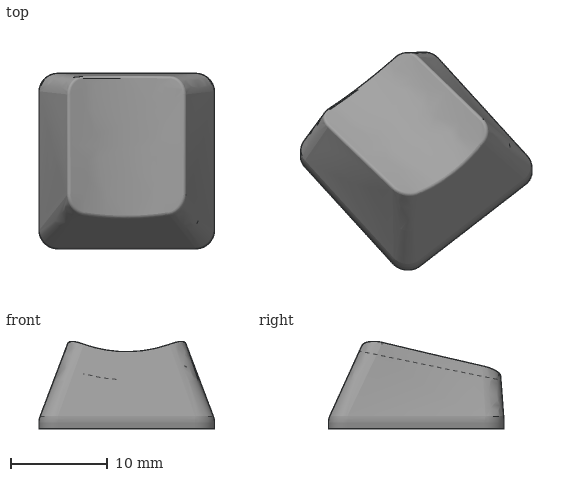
import cadquery as cq
import math

base_size = 18.16
base_corner_radius = 2.0
skirt_height = 0.65

shoulder_height = 0.65
shoulder_inset = 0.13
shoulder_back_inset = 0.04

rim_width = 12.02
rim_front_y = -5.21
rim_back_y = 8.68
rim_corner_radius = 1.89
rim_height_at_center = 8.26
rim_tilt = 13.5
rim_edge_radius = 0.29

dish_front_radius = 11.99
dish_back_radius = 17.25
dish_half_length = 8.17


def make_skirt():
    return (
        cq.Workplane("XY")
        .rect(base_size, base_size)
        .extrude(skirt_height)
        .edges("|Z")
        .fillet(base_corner_radius)
    )


def rounded_rectangle(plane, width, length, radius):
    """Closed wire of a rounded rectangle centred on the plane origin."""
    sketch = cq.Sketch().rect(width, length).vertices().fillet(radius)
    wire = sketch._faces.Faces()[0].outerWire()
    return wire.moved(cq.Location(plane))


def make_rim_plane():
    center_y = (rim_front_y + rim_back_y) / 2
    center_z = rim_height_at_center - center_y * math.tan(math.radians(rim_tilt))
    tilt = math.radians(rim_tilt)
    return cq.Plane(
        origin=(0, center_y, center_z),
        xDir=(1, 0, 0),
        normal=(0, math.sin(tilt), math.cos(tilt)),
    )


def inset_outline(height, side_inset, back_inset):
    """Base outline at a height, moved inwards at the sides, front and back."""
    plane = cq.Plane(origin=(0, (side_inset - back_inset) / 2, height))
    width = base_size - 2 * side_inset
    length = base_size - side_inset - back_inset
    return rounded_rectangle(plane, width, length, base_corner_radius - side_inset)


def make_shoulder(wall_foot):
    """Smooth loft that leaves the skirt vertically and leans in to the foot of the walls."""
    skirt_top = inset_outline(skirt_height, 0, 0)
    middle = inset_outline(skirt_height + shoulder_height / 2, shoulder_inset / 4, shoulder_back_inset / 4)
    return cq.Workplane(cq.Solid.makeLoft([skirt_top, middle, wall_foot]))


def make_walls(wall_foot, rim_plane):
    """Ruled, tapering walls from the shoulder up to the tilted rim."""
    rim_length = (rim_back_y - rim_front_y) / math.cos(math.radians(rim_tilt))
    rim = rounded_rectangle(rim_plane, rim_width, rim_length, rim_corner_radius)
    return cq.Workplane(cq.Solid.makeLoft([wall_foot, rim], True))


def dish_circle(rim_plane, distance, radius):
    """Circle across the dish that meets the rim plane at both long sides of the rim."""
    axis_height = math.sqrt(radius**2 - (rim_width / 2) ** 2)
    center = rim_plane.toWorldCoords((0, distance, axis_height))
    return cq.Wire.makeCircle(radius, center, rim_plane.yDir)


def make_dish(rim_plane):
    """Ruled scoop between a tight front circle and a wide back circle."""
    front = dish_circle(rim_plane, -dish_half_length, dish_front_radius)
    back = dish_circle(rim_plane, dish_half_length, dish_back_radius)
    return cq.Workplane(cq.Solid.makeLoft([front, back], True))


rim_plane = make_rim_plane()
wall_foot = inset_outline(skirt_height + shoulder_height, shoulder_inset, shoulder_back_inset)
body = make_skirt().union(make_shoulder(wall_foot)).union(make_walls(wall_foot, rim_plane))

body = body.cut(make_dish(rim_plane))
near_rim_center = cq.selectors.NearestToPointSelector(rim_plane.origin.toTuple())
dish_face = body.faces(near_rim_center)
result = dish_face.edges().fillet(rim_edge_radius)